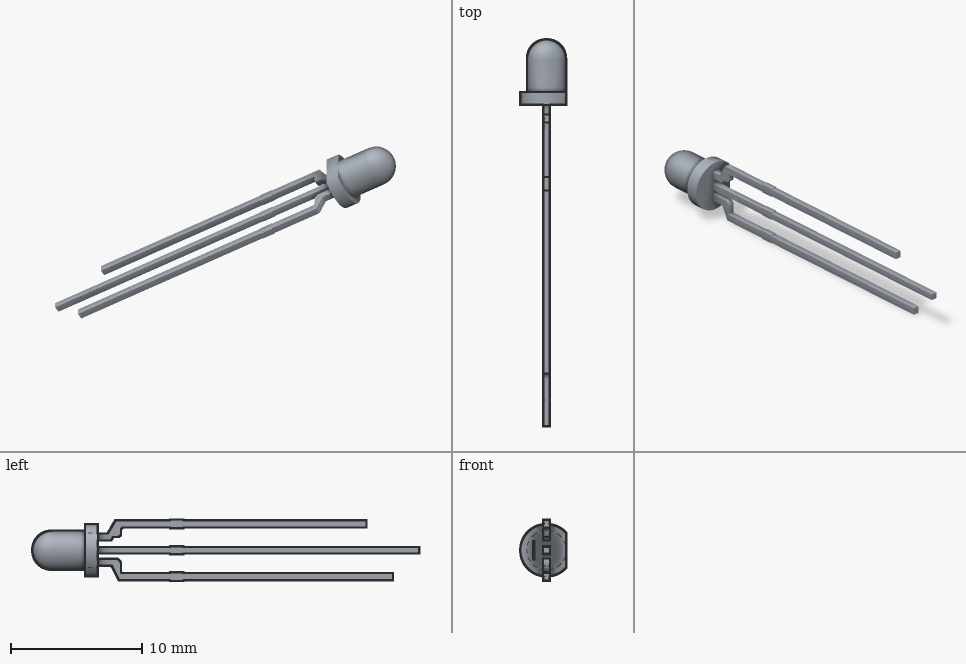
import cadquery as cq
import math

overall_length = 29.5
tip_y = overall_length / 2

lens_radius = 1.5
flange_radius = 2.0
flange_front_depth = 4.0
flange_back_depth = 5.02
flat_x = lens_radius

mark_x = -0.97
mark_width = 0.1
mark_length = 1.4
mark_depth = 0.1

lead_width = 0.5
lead_pitch = 2.0
middle_thickness = lead_width
outer_thickness = 0.55
upper_end_depth = 25.5
lower_end_depth = 27.5

swelling_start_depth = 10.5
swelling_length = 1.03
middle_swelling_thickness = 0.62
outer_swelling_thickness = 0.68

upper_root_z = 1.0
lower_root_z = -0.9
bend_back_depth = 6.78
upper_slope_start_depth = 5.75
upper_slope_end_depth = 6.35
upper_step_depth = 6.02
upper_step_slope = 0.15
upper_step_z = 1.0
upper_inner_radius = 0.18
lower_inner_radius = 0.1
upper_shoulder_radius = 0.27
lower_slope_start_depth = 6.05
lower_slope_end_depth = 6.6
lower_shoulder_radius = 0.45


def make_lens():
    """Domed cylinder with a flange, revolved about the Y axis."""
    dome_base_y = tip_y - lens_radius
    flange_front_y = tip_y - flange_front_depth
    flange_back_y = tip_y - flange_back_depth
    dome_mid = lens_radius * math.sqrt(0.5)
    lens = (
        cq.Workplane("YZ")
        .moveTo(tip_y, 0)
        .threePointArc((dome_base_y + dome_mid, dome_mid), (dome_base_y, lens_radius))
        .lineTo(flange_front_y, lens_radius)
        .lineTo(flange_front_y, flange_radius)
        .lineTo(flange_back_y, flange_radius)
        .lineTo(flange_back_y, 0)
        .close()
        .revolve(360, (0, 0, 0), (1, 0, 0))
    )
    flat_cutter = cq.Workplane("XY").box(
        flange_radius, 2 * flange_back_depth, 2 * flange_radius
    ).translate((flat_x + flange_radius / 2, tip_y, 0))
    mark_cutter = cq.Workplane("XY").box(
        mark_width, 2 * mark_depth, mark_length
    ).translate((mark_x, flange_back_y, 0))
    return lens.cut(flat_cutter).cut(mark_cutter)


def extrude_lead(outline):
    """Lead plate from (depth behind the dome tip, Z) points, centred on X = 0."""
    points = [(tip_y - depth, z) for depth, z in outline]
    return cq.Workplane("YZ").polyline(points).close().extrude(lead_width / 2, both=True)


def round_corner(lead, depth, z, radius):
    """Fillet the lead edge running along X at the given depth and Z."""
    corner = cq.selectors.NearestToPointSelector((0, tip_y - depth, z))
    return lead.edges("|X").edges(corner).fillet(radius)


def make_swelling(z, thickness):
    y = tip_y - swelling_start_depth - swelling_length / 2
    return cq.Workplane("XY").box(lead_width, swelling_length, thickness).translate((0, y, z))


def make_middle_lead():
    half = middle_thickness / 2
    lead = extrude_lead([
        (flange_back_depth, half),
        (overall_length, half),
        (overall_length, -half),
        (flange_back_depth, -half),
    ])
    return lead.union(make_swelling(0, middle_swelling_thickness))


def make_upper_lead():
    half = outer_thickness / 2
    inner_z = lead_pitch - half
    lead = extrude_lead([
        (flange_back_depth, upper_root_z + half),
        (upper_slope_start_depth, upper_root_z + half),
        (upper_slope_end_depth, lead_pitch + half),
        (upper_end_depth, lead_pitch + half),
        (upper_end_depth, inner_z),
        (bend_back_depth, inner_z),
        (bend_back_depth, upper_step_z),
        (upper_step_depth + upper_step_slope, upper_step_z),
        (upper_step_depth, upper_root_z - half),
        (flange_back_depth, upper_root_z - half),
    ])
    lead = round_corner(lead, bend_back_depth, inner_z, upper_inner_radius)
    lead = round_corner(lead, bend_back_depth, upper_step_z, upper_shoulder_radius)
    return lead.union(make_swelling(lead_pitch, outer_swelling_thickness))


def make_lower_lead():
    half = outer_thickness / 2
    lead = extrude_lead([
        (flange_back_depth, lower_root_z + half),
        (bend_back_depth, lower_root_z + half),
        (bend_back_depth, -lead_pitch + half),
        (lower_end_depth, -lead_pitch + half),
        (lower_end_depth, -lead_pitch - half),
        (lower_slope_end_depth, -lead_pitch - half),
        (lower_slope_start_depth, lower_root_z - half),
        (flange_back_depth, lower_root_z - half),
    ])
    lead = round_corner(lead, bend_back_depth, lower_root_z + half, lower_shoulder_radius)
    lead = round_corner(lead, bend_back_depth, -lead_pitch + half, lower_inner_radius)
    return lead.union(make_swelling(-lead_pitch, outer_swelling_thickness))


result = make_lens()
for lead in (make_middle_lead(), make_upper_lead(), make_lower_lead()):
    result = result.union(lead)